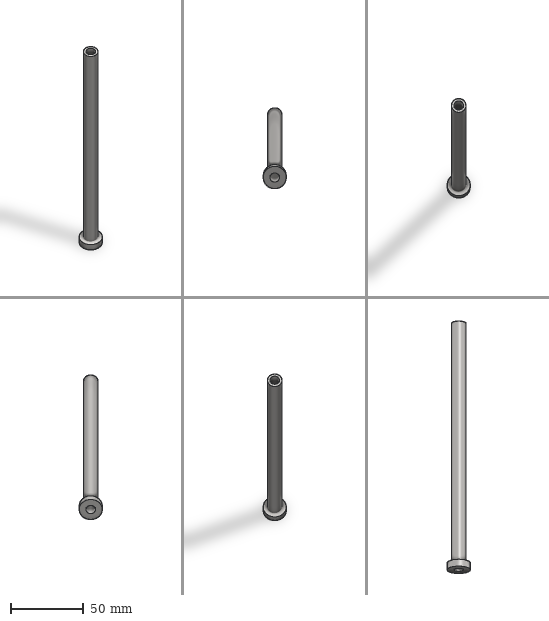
import cadquery as cq

total_length = 180.0
head_diameter = 16.0
head_height = 5.0
shank_diameter = 10.0
bore_diameter = 6.5
neck_fillet = 0.5

head_radius = head_diameter / 2
shank_radius = shank_diameter / 2
bore_radius = bore_diameter / 2

half_section = (
    cq.Workplane("XZ")
    .moveTo(bore_radius, 0)
    .lineTo(head_radius, 0)
    .lineTo(head_radius, head_height)
    .lineTo(shank_radius + neck_fillet, head_height)
    .radiusArc((shank_radius, head_height + neck_fillet), neck_fillet)
    .lineTo(shank_radius, total_length)
    .lineTo(bore_radius, total_length)
    .close()
)

result = half_section.revolve(360, (0, 0, 0), (0, 1, 0))